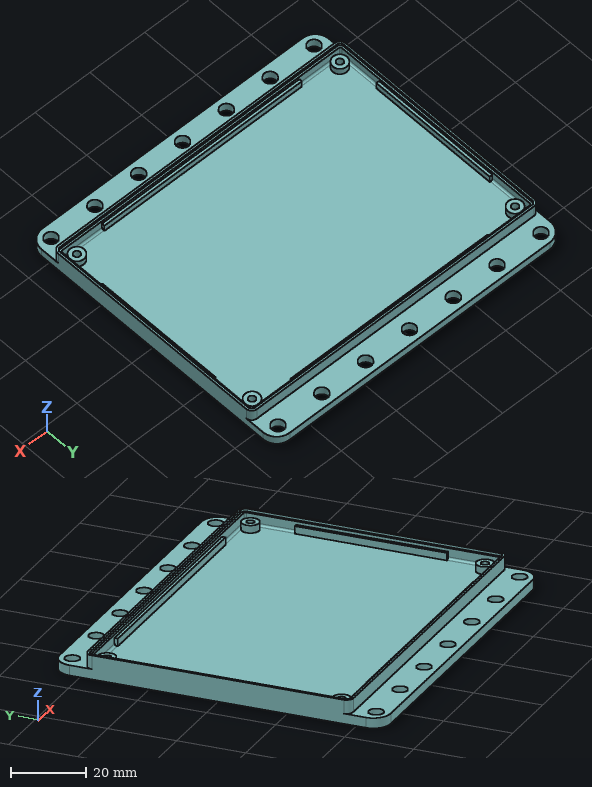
import cadquery as cq

plate_length = 105.0
plate_width = 96.0
plate_thickness = 3.0
plate_corner_radius = 5.0

total_height = 7.0
tray_width = 77.0
tray_corner_radius = 2.0

top_ring_width = 0.75
ledge_width = 0.75
ledge_depth = 0.8
wall_thickness = top_ring_width + ledge_width
floor_thickness = plate_thickness
floor_fillet_radius = 0.7

rib_projection = 1.0
rib_height = 2.2
long_rib_length = 72.0
short_rib_length = 44.0

boss_diameter = 5.0
boss_hole_diameter = 2.2
boss_height = 2.2
boss_inset = 4.5

mount_hole_diameter = 4.2
mount_holes_per_row = 7
mount_hole_pitch = (plate_length - 2 * boss_inset) / (mount_holes_per_row - 1)
mount_hole_edge_distance = 4.0


def rounded_block(length, width, bottom, top, corner_radius):
    """Upright block centred on the Z axis with rounded vertical edges."""
    block = cq.Workplane("XY").workplane(offset=bottom).rect(length, width).extrude(top - bottom)
    return block.edges("|Z").fillet(corner_radius)


def tray_inset_block(inset, bottom):
    """Block up to the rim, inset from the tray outline and concentric with its corners."""
    return rounded_block(
        plate_length - 2 * inset,
        tray_width - 2 * inset,
        bottom,
        total_height,
        tray_corner_radius - inset,
    )


def make_body():
    plate = rounded_block(plate_length, plate_width, 0, plate_thickness, plate_corner_radius)
    return plate.union(tray_inset_block(0, 0))


def make_cavity():
    ledge_recess = tray_inset_block(top_ring_width, total_height - ledge_depth)
    pocket = tray_inset_block(wall_thickness, floor_thickness)
    pocket = pocket.faces("<Z").edges().fillet(floor_fillet_radius)
    return pocket.union(ledge_recess)


def make_ribs():
    """Four ribs, each reaching from inside the wall to its projection into the pocket."""
    depth = wall_thickness + rib_projection
    x_centre = (plate_length - depth) / 2
    y_centre = (tray_width - depth) / 2
    base = cq.Workplane("XY")
    long_ribs = base.pushPoints([(0, -y_centre), (0, y_centre)]).rect(long_rib_length, depth)
    long_ribs = long_ribs.extrude(floor_thickness + rib_height)
    short_ribs = base.pushPoints([(-x_centre, 0), (x_centre, 0)]).rect(depth, short_rib_length)
    short_ribs = short_ribs.extrude(floor_thickness + rib_height)
    return long_ribs.union(short_ribs)


def boss_pattern(diameter, height):
    """Cylinders standing on the bottom plane at the four boss positions."""
    spacing_x = plate_length - 2 * boss_inset
    spacing_y = tray_width - 2 * boss_inset
    corners = cq.Workplane("XY").rect(spacing_x, spacing_y, forConstruction=True).vertices()
    return corners.circle(diameter / 2).extrude(height)


def make_mount_holes():
    row_spacing = plate_width - 2 * mount_hole_edge_distance
    centres = cq.Workplane("XY").rarray(mount_hole_pitch, row_spacing, mount_holes_per_row, 2)
    return centres.circle(mount_hole_diameter / 2).extrude(total_height)


result = (
    make_body()
    .cut(make_cavity())
    .union(make_ribs())
    .union(boss_pattern(boss_diameter, floor_thickness + boss_height))
    .cut(boss_pattern(boss_hole_diameter, total_height))
    .cut(make_mount_holes())
)